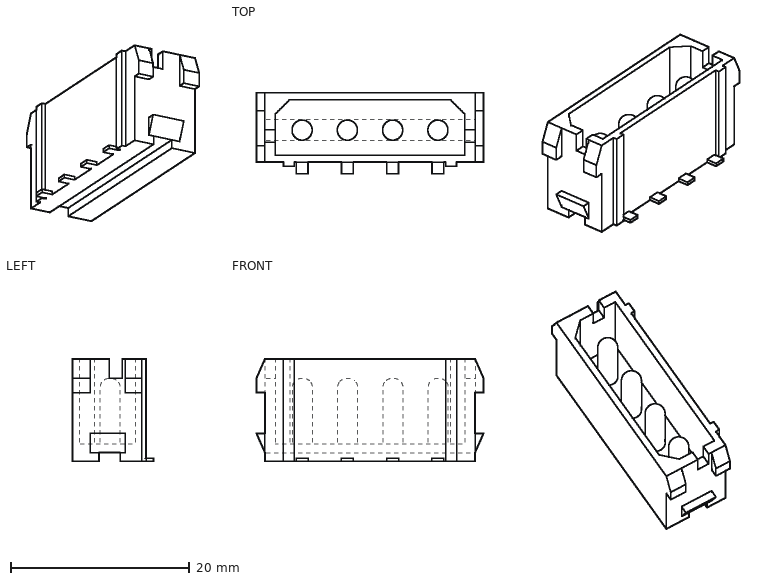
import cadquery as cq


overall_length = 25.5
height = 11.5
body_length = 23.6
body_width = 7.8
back_y = body_width / 2
front_y = -body_width / 2

cavity_length = 21.3
wall = 0.77
cavity_width = body_width - 2 * wall
cavity_chamfer = 1.65
floor_z = 2.0

latch_projection = (overall_length - body_length) / 2
latch_taper = 2.15
latch_height = 3.77
back_latch_width = 2.0
front_latch_width = 1.85
wedge_width = body_width - back_latch_width - front_latch_width
wedge_bottom_z = 1.0
wedge_top_z = wedge_bottom_z + latch_taper

key_slot_width = 1.42
key_slot_back_y = back_y - 4.15
key_slot_depth = latch_taper
channel_width = 2.36
channel_back_y = back_y - 3.0
channel_height = wedge_bottom_z

rib_width = 1.24
rib_projection = 0.46
rib_spacing = 18.2

pin_count = 4
pin_pitch = 5.08
pin_radius = 1.13
pin_tip_radius = 0.12
pin_y = back_y - 4.2
pin_top_z = height - key_slot_depth
lead_width = 1.33
lead_thickness = 0.39
lead_projection = 1.3

pin_positions = [(i - (pin_count - 1) / 2) * pin_pitch for i in range(pin_count)]


def box(x_centre, x_size, y_back, y_size, z_bottom, z_size):
    """Box centred on x_centre, running from y_back toward -Y and up from z_bottom."""
    return (
        cq.Workplane("XY")
        .box(x_size, y_size, z_size, centered=(True, False, False))
        .translate((x_centre, y_back - y_size, z_bottom))
    )


def extruded_profile(points, y_back, width):
    """XZ profile extruded from y_back toward -Y."""
    return cq.Workplane("XZ", origin=(0, y_back, 0)).polyline(points).close().extrude(width)


def make_shell():
    body = box(0, body_length, back_y, body_width, 0, height)
    cavity = box(0, cavity_length, back_y - wall, cavity_width, floor_z, height - floor_z)
    cavity = cavity.edges("|Z and >Y").chamfer(cavity_chamfer)
    key_slots = box(0, body_length, key_slot_back_y, key_slot_width, height - key_slot_depth, key_slot_depth)
    channel = box(0, body_length, channel_back_y, channel_width, 0, channel_height)
    return body.cut(cavity).cut(key_slots).cut(channel)


def make_end_latches(side):
    """Two upper latches and the lower wedge on one end; side is -1 or 1."""
    inner_x = side * body_length / 2
    outer_x = inner_x + side * latch_projection
    upper_profile = [
        (inner_x, height),
        (outer_x, height - latch_taper),
        (outer_x, height - latch_height),
        (inner_x, height - latch_height),
    ]
    wedge_profile = [
        (inner_x, wedge_bottom_z),
        (outer_x, wedge_top_z),
        (inner_x, wedge_top_z),
    ]
    back_latch = extruded_profile(upper_profile, back_y, back_latch_width)
    front_latch = extruded_profile(upper_profile, front_y + front_latch_width, front_latch_width)
    wedge = extruded_profile(wedge_profile, back_y - back_latch_width, wedge_width)
    return back_latch.union(front_latch).union(wedge)


def make_pin(x):
    """Round pin on the cavity floor, domed to a small flat tip."""
    pin = (
        cq.Workplane("XY", origin=(x, pin_y, floor_z))
        .circle(pin_radius)
        .extrude(pin_top_z - floor_z)
    )
    return pin.faces(">Z").edges().fillet(pin_radius - pin_tip_radius)


def make_lead(x):
    return box(x, lead_width, front_y, lead_projection, 0, lead_thickness)


result = make_shell()
for side in (-1, 1):
    result = result.union(make_end_latches(side))
    result = result.union(box(side * rib_spacing / 2, rib_width, front_y, rib_projection, 0, height))
for pin_x in pin_positions:
    result = result.union(make_pin(pin_x)).union(make_lead(pin_x))